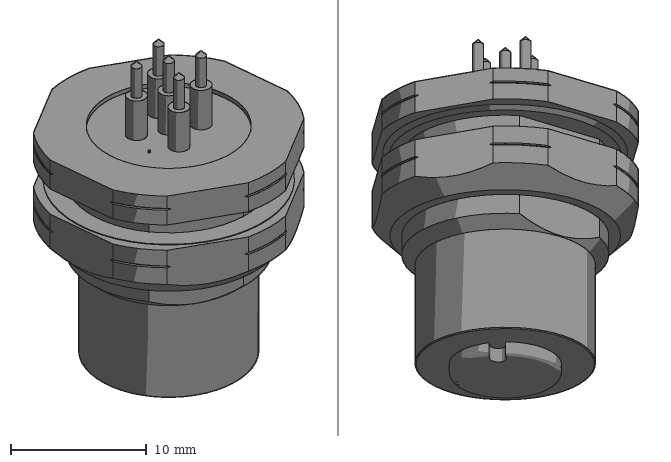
import cadquery as cq
import math

ACROSS_FLATS = 19.0
OUTER_DIAMETER = 20.0
FLAT_COUNT = 6
GROOVE_DEPTH = 0.08
GROOVE_HALF_WIDTH = 0.08

INSERT_FILLET = 0.53
BARREL_BOTTOM = 1.09
BARREL_TOP = 9.04
NECK_CONE_TOP = 9.88
NUT_BOTTOM = 11.4
NUT_CHAMFER_TOP = 12.9
NUT_GROOVE = 14.42
NUT_TOP = 15.85
NUT_FACE_TOP = 15.9
LIP_BOTTOM = 17.75
FLANGE_BOTTOM = 18.02
FLANGE_GROOVE = 19.37
RECESS_FLOOR = 20.17
FLANGE_TOP = 20.5
PIN_SHOULDER = 23.55
PIN_TIP = 26.5

INSERT_DIAMETER = 8.27
BARREL_DIAMETER = 13.28
BARREL_EDGE_CHAMFER = 0.08
NECK_DIAMETER = 15.25
NECK_ACROSS_FLATS = 13.38
NUT_BOTTOM_DIAMETER = 16.95
NUT_FACE_DIAMETER = 18.5
LIP_TOP_DIAMETER = 18.02
LIP_BOTTOM_DIAMETER = 17.12
RECESS_DIAMETER = 12.15

PIN_SPACING = 2.5
PIN_BASE_DIAMETER = 1.62
PIN_DIAMETER = 0.82

KEYWAY_RADIUS = 0.6
KEYWAY_CENTRE_DISTANCE = 3.55
KEYWAY_ANGLE = 135
PIP_X = 2.62
PIP_Y = -2.33
PIP_DIAMETER = 0.2
PIP_HEIGHT = 0.13


def cylinder(diameter, bottom, top):
    return cq.Workplane("XY").workplane(offset=bottom).circle(diameter / 2).extrude(top - bottom)


def cone(bottom_diameter, top_diameter, bottom, top):
    """Truncated cone about the Z axis."""
    profile = [(0, bottom), (bottom_diameter / 2, bottom), (top_diameter / 2, top), (0, top)]
    return cq.Workplane("XZ").polyline(profile).close().revolve(360, (0, 0), (0, 1))


def hexagon(bottom, top):
    """Hexagonal prism with two of its flats facing +X and -X."""
    across_corners = ACROSS_FLATS / math.cos(math.pi / FLAT_COUNT)
    outline = cq.Workplane("XY").workplane(offset=bottom).polygon(FLAT_COUNT, across_corners)
    return outline.extrude(top - bottom).rotate((0, 0, 0), (0, 0, 1), 180 / FLAT_COUNT)


def rim_groove(height):
    """Fine V groove around the outer diameter, running out into the flats."""
    rim = OUTER_DIAMETER / 2
    profile = [
        (rim, height - GROOVE_HALF_WIDTH),
        (rim - GROOVE_DEPTH, height),
        (rim, height + GROOVE_HALF_WIDTH),
    ]
    return cq.Workplane("XZ").polyline(profile).close().revolve(360, (0, 0), (0, 1))


def make_flange():
    """Grooved flange with a tapered lip under it."""
    disc = cylinder(OUTER_DIAMETER, FLANGE_BOTTOM, FLANGE_TOP).intersect(hexagon(FLANGE_BOTTOM, FLANGE_TOP))
    lip = cone(LIP_BOTTOM_DIAMETER, LIP_TOP_DIAMETER, LIP_BOTTOM, FLANGE_BOTTOM)
    return disc.cut(rim_groove(FLANGE_GROOVE)).union(lip)


def make_nut():
    """Nut with a round bore, which leaves gaps beside the flats of the neck."""
    chamfer = cone(NUT_BOTTOM_DIAMETER, OUTER_DIAMETER, NUT_BOTTOM, NUT_CHAMFER_TOP)
    turned = chamfer.union(cylinder(OUTER_DIAMETER, NUT_CHAMFER_TOP, NUT_TOP))
    nut = turned.intersect(hexagon(NUT_BOTTOM, NUT_TOP)).cut(rim_groove(NUT_GROOVE))
    face = cylinder(NUT_FACE_DIAMETER, NUT_TOP, NUT_FACE_TOP)
    return nut.union(face).cut(cylinder(NECK_DIAMETER, NUT_BOTTOM, NUT_FACE_TOP))


def make_neck():
    """Neck through the nut, flattened on +X and -X."""
    taper = cone(BARREL_DIAMETER, NECK_DIAMETER, BARREL_TOP, NECK_CONE_TOP)
    turned = taper.union(cylinder(NECK_DIAMETER, NECK_CONE_TOP, FLANGE_BOTTOM))
    flats = cq.Workplane("XY").workplane(offset=BARREL_TOP).rect(NECK_ACROSS_FLATS, NECK_DIAMETER)
    return turned.intersect(flats.extrude(FLANGE_BOTTOM - BARREL_TOP))


def make_barrel():
    return cylinder(BARREL_DIAMETER, BARREL_BOTTOM, BARREL_TOP).faces("<Z").chamfer(BARREL_EDGE_CHAMFER)


def make_insert():
    """Rounded insert below the barrel, with a U-shaped keyway open to its rim."""
    insert = cylinder(INSERT_DIAMETER, 0, BARREL_BOTTOM).faces("<Z").edges().fillet(INSERT_FILLET)
    slot_length = INSERT_DIAMETER / 2
    open_slot = (
        cq.Workplane("XY")
        .center(KEYWAY_CENTRE_DISTANCE + slot_length / 2, 0)
        .rect(slot_length, 2 * KEYWAY_RADIUS)
        .extrude(BARREL_BOTTOM)
    )
    round_end = cylinder(2 * KEYWAY_RADIUS, 0, BARREL_BOTTOM).translate((KEYWAY_CENTRE_DISTANCE, 0, 0))
    keyway = open_slot.union(round_end)
    return insert.cut(keyway.rotate((0, 0, 0), (0, 0, 1), KEYWAY_ANGLE))


def make_pin():
    """Stepped contact pin with a conical point."""
    point_bottom = PIN_TIP - PIN_DIAMETER / 2
    profile = [
        (0, RECESS_FLOOR),
        (PIN_BASE_DIAMETER / 2, RECESS_FLOOR),
        (PIN_BASE_DIAMETER / 2, PIN_SHOULDER),
        (PIN_DIAMETER / 2, PIN_SHOULDER),
        (PIN_DIAMETER / 2, point_bottom),
        (0, PIN_TIP),
    ]
    return cq.Workplane("XZ").polyline(profile).close().revolve(360, (0, 0), (0, 1))


recess = cylinder(RECESS_DIAMETER, RECESS_FLOOR, FLANGE_TOP)
pip = cylinder(PIP_DIAMETER, RECESS_FLOOR, RECESS_FLOOR + PIP_HEIGHT).translate((PIP_X, PIP_Y, 0))

body = make_insert().union(make_barrel()).union(make_neck()).union(make_nut()).union(make_flange())
body = body.cut(recess).union(pip)

pin_positions = [(0, 0), (PIN_SPACING, 0), (-PIN_SPACING, 0), (0, PIN_SPACING), (0, -PIN_SPACING)]
for x, y in pin_positions:
    body = body.union(make_pin().translate((x, y, 0)))

result = body